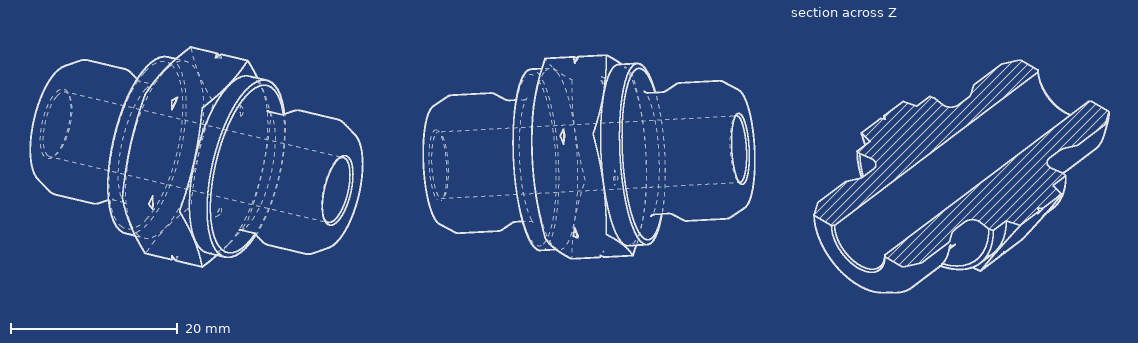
import cadquery as cq
import math


half_length = 37.5 / 2
bore_radius = 8.0 / 2
bore_chamfer = 0.27

hex_across_flats = 22.0
hex_half_width = 4.25
hex_edge_round = 0.1
hex_chamfer_angle = math.radians(15)

groove_depth = 0.5
groove_half_angle = math.radians(30)

collar_radius = 21.8 / 2
collar_thickness = 2.5
collar_rim_angle = math.radians(15)
seal_edge_radius = 10.3
seal_recess_radius = 8.6

thread_radius = 16.6 / 2
neck_radius = 14.6 / 2
thread_inner_x = 11.6
thread_outer_x = 16.68
cone_angle = math.radians(30)
collar_root_radius = 1.25
neck_fillet = 1.4
thread_outer_round = 0.4
thread_inner_round = 0.25
end_edge_round = 0.3
neck_end_x = 7.75

hex_corner_radius = hex_across_flats / 2 / math.cos(math.radians(30))
seal_edge_x = hex_half_width + collar_thickness
collar_rim_x = seal_edge_x - (collar_radius - seal_edge_radius) * math.tan(collar_rim_angle)
neck_cone_x = thread_inner_x - (thread_radius - neck_radius) / math.tan(cone_angle)
end_radius = thread_radius - (half_length - thread_outer_x) * math.tan(cone_angle)


def root_arc_point(radius):
    """Point of the collar root arc at the given radius."""
    drop = neck_radius + collar_root_radius - radius
    return neck_end_x - math.sqrt(collar_root_radius**2 - drop**2), radius


def revolve_about_x(outline):
    return outline.close().revolve(360, (0, 0, 0), (1, 0, 0))


def round_circles(body, x, radius, size):
    """Round the circular edge of the given radius centred at the given x."""
    reach = 0.01
    box = cq.selectors.BoxSelector(
        (x - reach, -radius - reach, -radius - reach),
        (x + reach, radius + reach, radius + reach),
        boundingbox=True,
    )
    return body.edges(box).fillet(size)


def turned_end():
    """Collar, undercut and thread blank on the +X side."""
    recess_point = root_arc_point(seal_recess_radius)
    arc_middle = root_arc_point((neck_radius + seal_recess_radius) / 2)
    outline = (
        cq.Workplane("XY")
        .lineTo(0, collar_radius)
        .lineTo(collar_rim_x, collar_radius)
        .lineTo(seal_edge_x, seal_edge_radius)
        .lineTo(*recess_point)
        .threePointArc(arc_middle, (neck_end_x, neck_radius))
        .lineTo(neck_cone_x, neck_radius)
        .lineTo(thread_inner_x, thread_radius)
        .lineTo(thread_outer_x, thread_radius)
        .lineTo(half_length, end_radius)
        .lineTo(half_length, 0)
    )
    body = revolve_about_x(outline)
    body = round_circles(body, neck_cone_x, neck_radius, neck_fillet)
    body = round_circles(body, thread_inner_x, thread_radius, thread_inner_round)
    body = round_circles(body, thread_outer_x, thread_radius, thread_outer_round)
    return round_circles(body, half_length, end_radius, end_edge_round)


def hexagon():
    """Hexagon with chamfered ends and grooved corners; corners point along +Y and -Y."""
    prism = (
        cq.Workplane("YZ")
        .polygon(6, 2 * hex_corner_radius)
        .extrude(hex_half_width, both=True)
        .edges("|X")
        .fillet(hex_edge_round)
    )
    flat_radius = hex_across_flats / 2
    corner_x = hex_half_width - (hex_corner_radius - flat_radius) * math.tan(hex_chamfer_angle)
    groove_half_width = groove_depth * math.tan(groove_half_angle)
    groove_radius = hex_corner_radius - groove_depth
    envelope = (
        cq.Workplane("XY")
        .moveTo(-hex_half_width, 0)
        .lineTo(-hex_half_width, flat_radius)
        .lineTo(-corner_x, hex_corner_radius)
        .lineTo(-groove_half_width, hex_corner_radius)
        .lineTo(0, groove_radius)
        .lineTo(groove_half_width, hex_corner_radius)
        .lineTo(corner_x, hex_corner_radius)
        .lineTo(hex_half_width, flat_radius)
        .lineTo(hex_half_width, 0)
    )
    return prism.intersect(revolve_about_x(envelope))


def bore():
    """Through bore with a chamfer at both mouths."""
    mouth_radius = bore_radius + bore_chamfer
    outline = (
        cq.Workplane("XY")
        .moveTo(-half_length, 0)
        .lineTo(-half_length, mouth_radius)
        .lineTo(-half_length + bore_chamfer, bore_radius)
        .lineTo(half_length - bore_chamfer, bore_radius)
        .lineTo(half_length, mouth_radius)
        .lineTo(half_length, 0)
    )
    return revolve_about_x(outline)


end = turned_end()
result = end.union(end.mirror("YZ")).union(hexagon()).cut(bore())